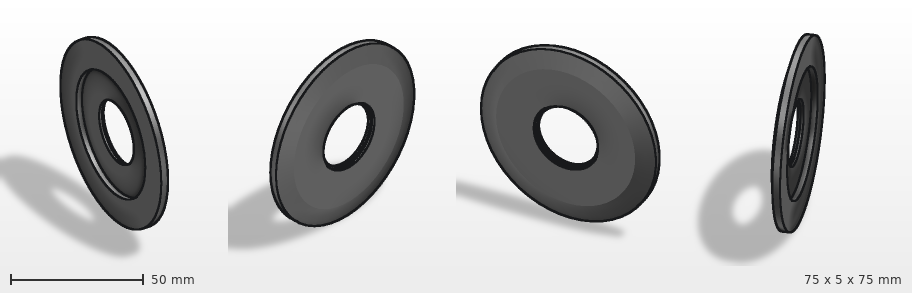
import cadquery as cq

outer_diameter = 75.0
thickness = 5.0
rim_width = 3.0

back_face_diameter = 59.55

recess_diameter = 51.2
recess_depth = 2.5
bore_diameter = 25.7
counterbore_diameter = 27.6
counterbore_depth = 1.3

front_y = -thickness / 2
back_y = front_y + thickness
rim_back_y = front_y + rim_width
recess_floor_y = front_y + recess_depth
counterbore_floor_y = back_y - counterbore_depth

half_section = [
    (recess_diameter / 2, front_y),
    (outer_diameter / 2, front_y),
    (outer_diameter / 2, rim_back_y),
    (back_face_diameter / 2, back_y),
    (counterbore_diameter / 2, back_y),
    (counterbore_diameter / 2, counterbore_floor_y),
    (bore_diameter / 2, counterbore_floor_y),
    (bore_diameter / 2, recess_floor_y),
    (recess_diameter / 2, recess_floor_y),
]

result = cq.Workplane("XY").polyline(half_section).close().revolve(360, (0, 0, 0), (0, 1, 0))